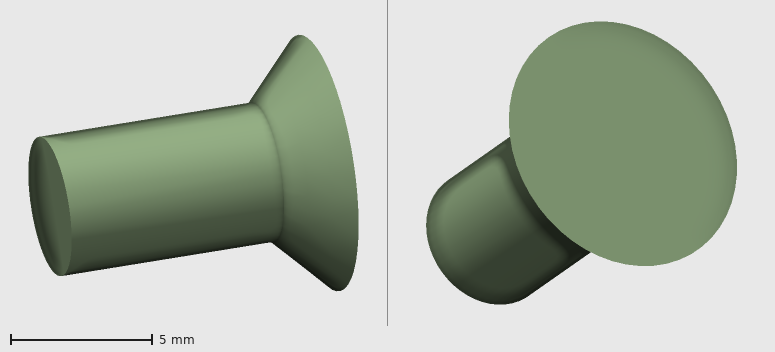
import cadquery as cq

overall_length = 10.0
shank_diameter = 5.0
head_diameter = 9.2

shank_radius = shank_diameter / 2
head_radius = head_diameter / 2
head_height = head_radius - shank_radius


def screw_blank():
    """Revolve the half section of the conical head and plain shank about Y."""
    half_section = (
        cq.Workplane("XY")
        .moveTo(0, 0)
        .lineTo(head_radius, 0)
        .lineTo(shank_radius, -head_height)
        .lineTo(shank_radius, -overall_length)
        .lineTo(0, -overall_length)
        .close()
    )
    return half_section.revolve(360, (0, 0, 0), (0, 1, 0))


result = screw_blank()